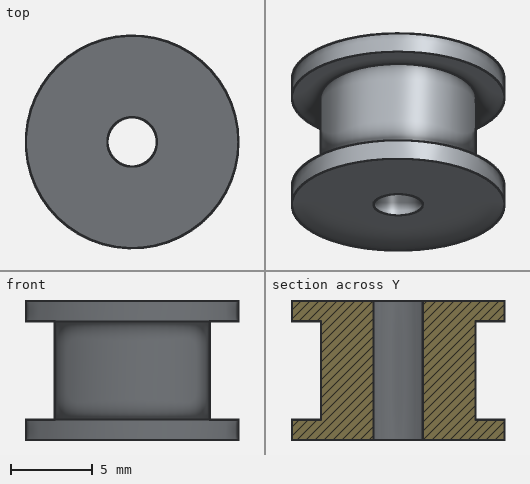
import cadquery as cq

flange_diameter = 13.0
hub_diameter = 9.5
bore_diameter = 3.0
total_height = 8.5
flange_thickness = 1.25
hub_height = total_height - 2 * flange_thickness

lower_flange = cq.Workplane("XY").circle(flange_diameter / 2).extrude(flange_thickness)
hub = lower_flange.faces(">Z").workplane().circle(hub_diameter / 2).extrude(hub_height)
spool = hub.faces(">Z").workplane().circle(flange_diameter / 2).extrude(flange_thickness)

result = spool.faces(">Z").workplane().hole(bore_diameter)